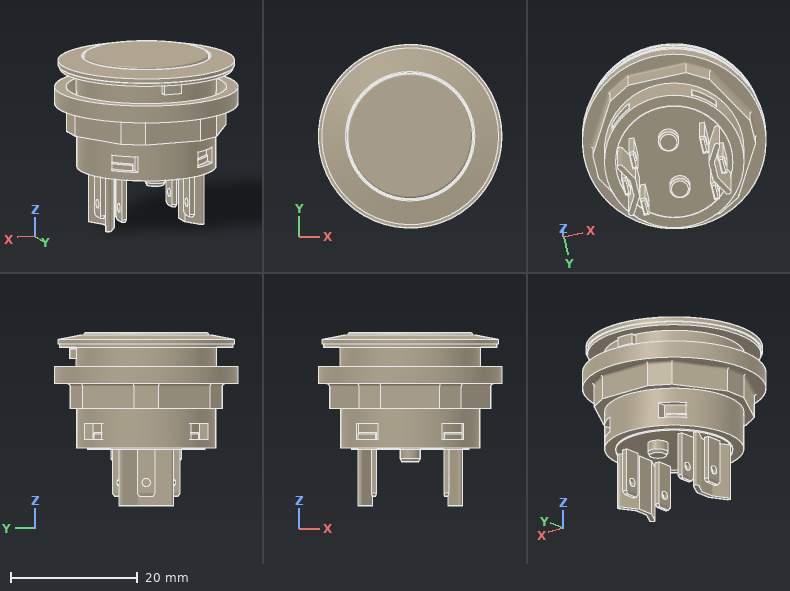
import cadquery as cq
import math

CAP_TOP = 27.35
BEZEL_TOP = 27.0
BEZEL_RIM_TOP = 26.27
BEZEL_STEP = 25.55
BEZEL_BOTTOM = 25.03
NUT_TOP = 22.0
COLLAR_BOTTOM = 21.45
COLLAR_TAPER_END = 21.15
RECESS_FLOOR = 19.72
FLANGE_BOTTOM = 19.28
HEX_BOTTOM = 15.35
BODY_BOTTOM = 9.14
PLATE_BOTTOM = 8.93

CAP_D = 19.7
CAP_FILLET = 0.35
CAP_GAP_D = 20.05
BEZEL_MOUTH_D = 20.42
BEZEL_MOUTH_CHAMFER = 0.12
BEZEL_D = 27.9
BEZEL_UNDERSIDE_D = 27.4
COLLAR_D = 22.2

BODY_D = 22.0
PLATE_D = 18.5

KEY_RADIUS = 12.12
KEY_WIDTH = 2.9
KEY_TOP = 24.82
KEY_BOTTOM = 23.23

FLANGE_D = 29.0
HEX_ACROSS_FLATS = 24.0
HEX_ACROSS_CUT_CORNERS = 25.45
HEX_FILLET = 0.5
SELECT_MARGIN = 0.03
RECESS_TOP_D = 25.35
RECESS_FLOOR_D = 24.3
NUT_BORE_D = 22.6
NUT_BORE_DEPTH = 0.44

WINDOW_TOP = 13.0
WINDOW_BOTTOM = 10.5
WINDOW_FLOOR_RADIUS = 9.77
WINDOW_NEAR_X = 5.05
WINDOW_FAR_INNER = (8.15, 5.28)
WINDOW_FAR_SLOPE = 6.0
WINDOW_OUTER_Y = 12.18
TAB_RADIUS = 9.92
TAB_ROOT_TOP = 11.57
TAB_FACE_TOP = 11.37
TAB_ROOT_X = 5.35
TAB_FACE_X = 5.45

BLADE_WIDTH = 2.8
BLADE_THICKNESS = 0.8
BLADE_BOTTOM = 1.5
BLADE_CHAMFER_HEIGHT = 0.5
BLADE_EDGE_CHAMFER = 0.35
BLADE_FACE_CHAMFER = 0.15
BLADE_HOLE_D = 1.3
BLADE_HOLE_Z = 3.68
OUTER_BLADE_X = 7.83
INNER_BLADE_X = 5.7
INNER_BLADE_Y = 3.95

BARRIER_THICKNESS = 0.87
BARRIER_BEND = 60.0
BARRIER_INNER_X = 5.95
BARRIER_END_X = 7.83
BARRIER_END_Y = 3.9
BARRIER_BEND_FILLET = 0.45

PIN_D = 3.2
PIN_Y = 3.97
PIN_BOTTOM = 6.95
PIN_CHAMFER_HEIGHT = 0.52
PIN_TIP_D = 2.67


def disc(diameter, bottom, top):
    return cq.Workplane("XY").workplane(offset=bottom).circle(diameter / 2).extrude(top - bottom)


def prism(points, bottom, top):
    return cq.Workplane("XY").workplane(offset=bottom).polyline(points).close().extrude(top - bottom)


def revolved(points):
    """Turn a closed (radius, height) outline about the Z axis."""
    return cq.Workplane("XZ").polyline(points).close().revolve(360, (0, 0, 0), (0, 1, 0))


def hexagon(across_flats, turn, bottom, top):
    corner_d = across_flats / math.cos(math.pi / 6)
    solid = cq.Workplane("XY").workplane(offset=bottom).polygon(6, corner_d).extrude(top - bottom)
    return solid.rotate((0, 0, 0), (0, 0, 1), turn)


def make_head_and_body():
    mouth_r = BEZEL_MOUTH_D / 2
    gap_r = CAP_GAP_D / 2
    cap_r = CAP_D / 2
    gap_floor = BEZEL_TOP - CAP_FILLET
    turned = revolved([
        (0, BODY_BOTTOM),
        (BODY_D / 2, BODY_BOTTOM),
        (BODY_D / 2, COLLAR_TAPER_END),
        (COLLAR_D / 2, COLLAR_BOTTOM),
        (COLLAR_D / 2, BEZEL_BOTTOM),
        (BEZEL_UNDERSIDE_D / 2, BEZEL_BOTTOM),
        (BEZEL_UNDERSIDE_D / 2, BEZEL_STEP),
        (BEZEL_D / 2, BEZEL_STEP),
        (BEZEL_D / 2, BEZEL_RIM_TOP),
        (mouth_r, BEZEL_TOP),
        (gap_r, BEZEL_TOP - BEZEL_MOUTH_CHAMFER),
        (gap_r, gap_floor),
        (cap_r, gap_floor),
        (cap_r, BEZEL_TOP),
        (0, BEZEL_TOP),
    ])
    cap = disc(CAP_D, gap_floor, CAP_TOP).faces(">Z").edges().fillet(CAP_FILLET)
    plate = disc(PLATE_D, PLATE_BOTTOM, BODY_BOTTOM)
    return turned.union(cap).union(plate)


def make_key():
    blank = disc(2 * KEY_RADIUS, KEY_BOTTOM, KEY_TOP)
    slab = cq.Workplane("XY").box(KEY_WIDTH, KEY_RADIUS, CAP_TOP, centered=(True, False, False))
    return blank.intersect(slab)


def make_nut():
    flange = disc(FLANGE_D, FLANGE_BOTTOM, NUT_TOP)
    full_hex = hexagon(HEX_ACROSS_FLATS, 0, HEX_BOTTOM, FLANGE_BOTTOM)
    corner_cut = hexagon(HEX_ACROSS_CUT_CORNERS, 30, HEX_BOTTOM, FLANGE_BOTTOM)
    nut = flange.union(full_hex.intersect(corner_cut))
    at_root = cq.selectors.BoxSelector(
        (-FLANGE_D, -FLANGE_D, FLANGE_BOTTOM - SELECT_MARGIN),
        (FLANGE_D, FLANGE_D, FLANGE_BOTTOM + SELECT_MARGIN),
    )
    nut = nut.edges(at_root).edges("%LINE").fillet(HEX_FILLET)
    recess = revolved([
        (0, NUT_TOP),
        (RECESS_TOP_D / 2, NUT_TOP),
        (RECESS_FLOOR_D / 2, RECESS_FLOOR),
        (NUT_BORE_D / 2, RECESS_FLOOR),
        (NUT_BORE_D / 2, RECESS_FLOOR - NUT_BORE_DEPTH),
        (0, RECESS_FLOOR - NUT_BORE_DEPTH),
    ])
    return nut.cut(recess)


def in_four_quadrants(solid):
    """The solid together with its mirror images across the XZ and YZ planes."""
    pair = solid.union(solid.mirror("YZ"))
    return pair.union(pair.mirror("XZ"))


def make_window_cutters():
    floor_x, floor_y = WINDOW_FAR_INNER
    far_outer_x = floor_x + (WINDOW_OUTER_Y - floor_y) / WINDOW_FAR_SLOPE
    opening = prism([
        (WINDOW_NEAR_X, floor_y),
        (floor_x, floor_y),
        (far_outer_x, WINDOW_OUTER_Y),
        (WINDOW_NEAR_X, WINDOW_OUTER_Y),
    ], WINDOW_BOTTOM, WINDOW_TOP)
    opening = opening.cut(disc(2 * WINDOW_FLOOR_RADIUS, WINDOW_BOTTOM, WINDOW_TOP))

    tab_ring = revolved([
        (0, WINDOW_BOTTOM),
        (TAB_RADIUS, WINDOW_BOTTOM),
        (TAB_RADIUS, TAB_FACE_TOP),
        (WINDOW_FLOOR_RADIUS, TAB_ROOT_TOP),
        (0, TAB_ROOT_TOP),
    ])
    root_y = math.sqrt(WINDOW_FLOOR_RADIUS ** 2 - TAB_ROOT_X ** 2)
    face_y = math.sqrt(TAB_RADIUS ** 2 - TAB_FACE_X ** 2)
    tab_span = prism([
        (TAB_ROOT_X, 0),
        (TAB_ROOT_X, root_y),
        (TAB_FACE_X, face_y),
        (TAB_FACE_X, WINDOW_OUTER_Y),
        (WINDOW_OUTER_Y, WINDOW_OUTER_Y),
        (WINDOW_OUTER_Y, 0),
    ], WINDOW_BOTTOM, TAB_ROOT_TOP)
    return in_four_quadrants(opening.cut(tab_ring.intersect(tab_span)))


def tapered_outline(plane, width, chamfer, depth):
    """A blade seen square on: straight sides and a chamfered lower end."""
    half = width / 2
    shoulder = BLADE_BOTTOM + BLADE_CHAMFER_HEIGHT
    outline = [
        (-half, BODY_BOTTOM),
        (-half, shoulder),
        (chamfer - half, BLADE_BOTTOM),
        (half - chamfer, BLADE_BOTTOM),
        (half, shoulder),
        (half, BODY_BOTTOM),
    ]
    return cq.Workplane(plane).polyline(outline).close().extrude(depth / 2, both=True)


def make_blade(x, y):
    blade = tapered_outline("YZ", BLADE_WIDTH, BLADE_EDGE_CHAMFER, BLADE_WIDTH)
    blade = blade.intersect(tapered_outline("XZ", BLADE_THICKNESS, BLADE_FACE_CHAMFER, 2 * BLADE_WIDTH))
    hole = (
        cq.Workplane("YZ")
        .center(0, BLADE_HOLE_Z)
        .circle(BLADE_HOLE_D / 2)
        .extrude(BLADE_THICKNESS, both=True)
    )
    return blade.cut(hole).translate((x, y, 0))


def make_barrier():
    """A bent strip with rounded ends that opens outwards, on the +X side."""
    half_t = BARRIER_THICKNESS / 2
    bend = math.radians(BARRIER_BEND)
    along_x, along_y = math.cos(bend), math.sin(bend)

    def wing_point(side):
        """End point of a wing face: side is +1 for the outer face, -1 for the inner face."""
        return (BARRIER_END_X + side * half_t * along_y, BARRIER_END_Y - side * half_t * along_x)

    def bend_point(side):
        """Where a wing face meets the flat middle."""
        end_x, end_y = wing_point(side)
        middle_x = BARRIER_INNER_X + half_t + side * half_t
        return (middle_x, end_y - (end_x - middle_x) * along_y / along_x)

    def mirrored(point):
        return (point[0], -point[1])

    tip = (BARRIER_END_X + half_t * along_x, BARRIER_END_Y + half_t * along_y)
    strip = (
        cq.Workplane("XY")
        .moveTo(*bend_point(1))
        .lineTo(*wing_point(1))
        .threePointArc(tip, wing_point(-1))
        .lineTo(*bend_point(-1))
        .lineTo(*mirrored(bend_point(-1)))
        .lineTo(*mirrored(wing_point(-1)))
        .threePointArc(mirrored(tip), mirrored(wing_point(1)))
        .lineTo(*mirrored(bend_point(1)))
        .close()
        .extrude(BODY_BOTTOM)
    )
    bend_x, bend_y = bend_point(1)
    for y in (bend_y, -bend_y):
        edge = cq.selectors.NearestToPointSelector((bend_x, y, BODY_BOTTOM / 2))
        strip = strip.edges("|Z").edges(edge).fillet(BARRIER_BEND_FILLET)
    return strip


def make_pin(y):
    pin = revolved([
        (0, PIN_BOTTOM),
        (PIN_TIP_D / 2, PIN_BOTTOM),
        (PIN_D / 2, PIN_BOTTOM + PIN_CHAMFER_HEIGHT),
        (PIN_D / 2, BODY_BOTTOM),
        (0, BODY_BOTTOM),
    ])
    return pin.translate((0, y, 0))


result = make_nut().union(make_head_and_body()).union(make_key()).cut(make_window_cutters())

for side in (-1, 1):
    result = result.union(make_blade(side * OUTER_BLADE_X, 0))
    for blade_y in (-INNER_BLADE_Y, INNER_BLADE_Y):
        result = result.union(make_blade(side * INNER_BLADE_X, blade_y))
    result = result.union(make_pin(side * PIN_Y))

barrier = make_barrier()
result = result.union(barrier).union(barrier.mirror("YZ"))